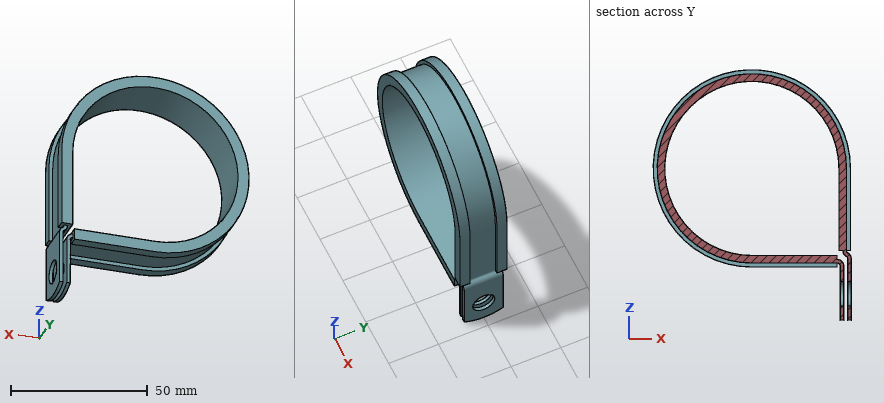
import cadquery as cq
import math


loop_radius = 36.05
cushion_thickness = 4.3
cushion_width = 18.9
upright_end_z = -30.0
foot_end_x = 31.1
rim_width = 4.07
groove_width = cushion_width - 2 * rim_width

strap_thickness = 1.4
strap_depth = (cushion_thickness - strap_thickness) / 2
strap_outer_radius = loop_radius - strap_depth
strap_inner_radius = strap_outer_radius - strap_thickness
strap_mid_radius = strap_outer_radius - strap_thickness / 2

tab_width = 15.7
tab_tip_z = -55.45
tab_tip_sagitta = 1.8
tab_outer_x = 36.3
tab_pitch = 2.7
hole_diameter = 8.8
hole_z = -45.75
bend_inner_radius = 1.0
bend_outer_radius = bend_inner_radius + strap_thickness
bend_mid_radius = bend_inner_radius + strap_thickness / 2


def extrude_centred(profile, width):
    return profile.extrude(width / 2, both=True)


def loop_blank(radius, width):
    """Solid teardrop: three-quarter disc with straight sides running down and to the right."""
    mid = radius * math.sqrt(0.5)
    profile = (
        cq.Workplane("XZ")
        .moveTo(radius, upright_end_z)
        .lineTo(radius, 0)
        .threePointArc((-mid, mid), (0, -radius))
        .lineTo(foot_end_x, -radius)
        .lineTo(foot_end_x, upright_end_z)
        .close()
    )
    return extrude_centred(profile, width)


def make_cushion():
    """Loop band with a shallow groove around its outside, exposing the strap."""
    inner_radius = loop_radius - cushion_thickness
    band = loop_blank(loop_radius, cushion_width).cut(loop_blank(inner_radius, cushion_width))
    groove = loop_blank(loop_radius, groove_width).cut(loop_blank(strap_outer_radius, groove_width))
    return band.cut(groove)


def make_foot_tab():
    """Strap leaving the foot of the loop and turning straight down."""
    right_x = tab_outer_x - tab_pitch
    left_x = right_x - strap_thickness
    bend_x = left_x - bend_inner_radius
    bend_z = -strap_outer_radius - bend_inner_radius
    root_x = foot_end_x - strap_thickness
    profile = (
        cq.Workplane("XZ")
        .moveTo(root_x, -strap_inner_radius)
        .lineTo(bend_x, -strap_inner_radius)
        .radiusArc((right_x, bend_z), bend_outer_radius)
        .lineTo(right_x, tab_tip_z)
        .lineTo(left_x, tab_tip_z)
        .lineTo(left_x, bend_z)
        .radiusArc((bend_x, -strap_outer_radius), -bend_inner_radius)
        .lineTo(root_x, -strap_outer_radius)
        .close()
    )
    return extrude_centred(profile, tab_width)


def make_upright_tab():
    """Strap leaving the upright and stepping outward through two opposite bends."""
    half = strap_thickness / 2
    tab_mid_x = tab_outer_x - half
    step = tab_mid_x - strap_mid_radius
    bend_angle = math.acos(1 - step / (2 * bend_mid_radius))
    bend_height = bend_mid_radius * math.sin(bend_angle)
    joint_x = (strap_mid_radius + tab_mid_x) / 2
    joint_z = upright_end_z - bend_height
    joint_dx = half * math.cos(bend_angle)
    joint_dz = half * math.sin(bend_angle)
    step_end_z = joint_z - bend_height
    profile = (
        cq.Workplane("XZ")
        .moveTo(strap_outer_radius, upright_end_z)
        .radiusArc((joint_x + joint_dx, joint_z + joint_dz), -bend_inner_radius)
        .radiusArc((tab_outer_x, step_end_z), bend_outer_radius)
        .lineTo(tab_outer_x, tab_tip_z)
        .lineTo(tab_outer_x - strap_thickness, tab_tip_z)
        .lineTo(tab_outer_x - strap_thickness, step_end_z)
        .radiusArc((joint_x - joint_dx, joint_z - joint_dz), -bend_inner_radius)
        .radiusArc((strap_inner_radius, upright_end_z), bend_outer_radius)
        .close()
    )
    return extrude_centred(profile, tab_width)


def make_tab_outline():
    """Prism along X that rounds the tab tips and leaves the bolt hole open."""
    shoulder_z = tab_tip_z + tab_tip_sagitta
    half_width = tab_width / 2
    return (
        cq.Workplane("YZ")
        .moveTo(-half_width, 0)
        .lineTo(-half_width, shoulder_z)
        .threePointArc((0, tab_tip_z), (half_width, shoulder_z))
        .lineTo(half_width, 0)
        .close()
        .moveTo(0, hole_z)
        .circle(hole_diameter / 2)
        .extrude(loop_radius + cushion_thickness)
    )


tabs = make_foot_tab().union(make_upright_tab()).intersect(make_tab_outline())
result = make_cushion().union(tabs)